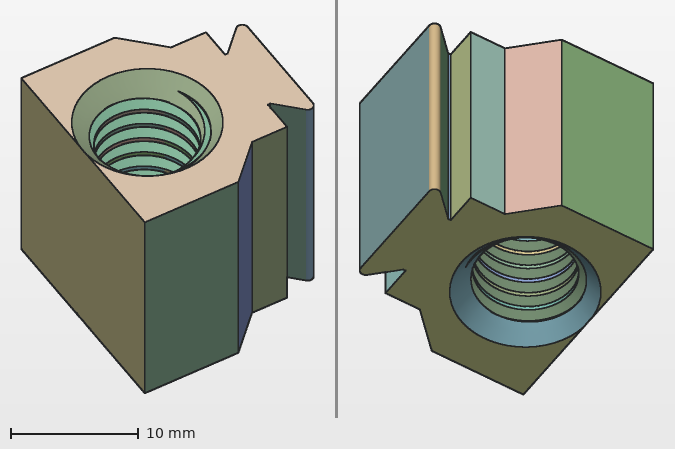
import cadquery as cq

width = 18.65
depth = 18.12
height = 19.05
shoulder_width = 12.23
side_depth = 8.6
shoulder_bevel = (width - shoulder_width) / 2
ledge_depth = 15.01

neck_width = 6.48
neck_step = 0.23
edge_radius = 0.5
flank_depth = depth - ledge_depth - neck_step
rail_width = neck_width + 2 * flank_depth

bore_offset = 5.9
minor_diameter = 8.38
major_diameter = 10.0
countersink_diameter = 11.87
thread_pitch = 1.58
crest_width = thread_pitch / 4
root_width = thread_pitch / 4
cutter_overlap = 0.05
thread_start_angle = 270
bore_seam_angle = 130

front_y = -depth / 2
bore_y = front_y + bore_offset

def make_body():
    ledge_y = front_y + ledge_depth
    right_side = [
        (width / 2, front_y),
        (width / 2, front_y + side_depth),
        (shoulder_width / 2, front_y + side_depth + shoulder_bevel),
        (shoulder_width / 2, ledge_y),
        (neck_width / 2, ledge_y),
        (neck_width / 2, ledge_y + neck_step),
        (rail_width / 2, depth / 2),
    ]
    left_side = [(-x, y) for x, y in reversed(right_side)]
    body = (
        cq.Workplane("XY")
        .workplane(offset=-height / 2)
        .polyline(right_side + left_side)
        .close()
        .extrude(height)
    )
    rail_edges = body.edges("|Z").edges(">Y")
    return rail_edges.fillet(edge_radius)

def make_bore():
    """Minor bore with a 45 degree countersink at each end, as one revolved cutter."""
    bore_radius = minor_diameter / 2
    mouth_radius = countersink_diameter / 2
    countersink_depth = mouth_radius - bore_radius
    return (
        cq.Workplane("YZ")
        .moveTo(0, -height / 2)
        .lineTo(mouth_radius, -height / 2)
        .lineTo(bore_radius, countersink_depth - height / 2)
        .lineTo(bore_radius, height / 2 - countersink_depth)
        .lineTo(mouth_radius, height / 2)
        .lineTo(0, height / 2)
        .close()
        .revolve(360, (0, 0), (0, 1))
        .rotate((0, 0, 0), (0, 0, 1), bore_seam_angle)
        .translate((0, bore_y, 0))
    )

def make_thread_groove():
    """Helical cutter with a trapezoid section that narrows toward the major diameter."""
    inner_radius = minor_diameter / 2 - cutter_overlap
    outer_radius = major_diameter / 2
    flank_slope = (thread_pitch - crest_width - root_width) / (major_diameter - minor_diameter)
    inner_half = (thread_pitch - crest_width) / 2 + cutter_overlap * flank_slope
    outer_half = root_width / 2
    path = cq.Wire.makeHelix(thread_pitch, height, inner_radius)
    section = (
        cq.Workplane("XZ")
        .moveTo(inner_radius, -inner_half)
        .lineTo(outer_radius, -outer_half)
        .lineTo(outer_radius, outer_half)
        .lineTo(inner_radius, inner_half)
        .close()
    )
    groove = section.sweep(cq.Workplane(obj=path), isFrenet=True)
    return groove.translate((0, bore_y, -height / 2))

def turn_about_bore(cutter):
    return cutter.rotate((0, bore_y, 0), (0, bore_y, 1), thread_start_angle)

bore = turn_about_bore(make_bore())
groove = turn_about_bore(make_thread_groove())
result = make_body().cut(bore).cut(groove)